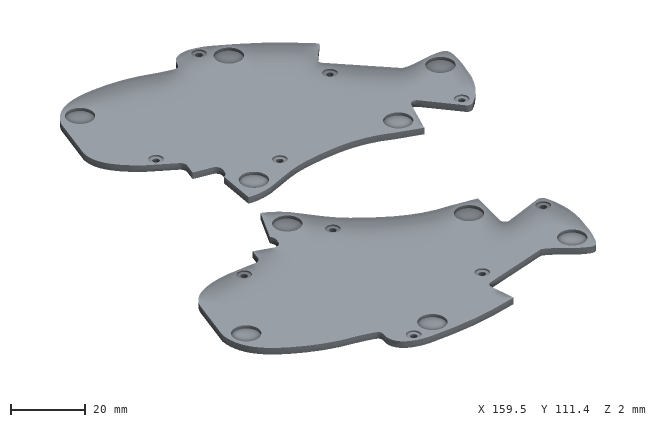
import cadquery as cq

THICKNESS = 2.0
HALF_LENGTH = 55.7
OUTER_REACH = 79.7

MAGNET_DIAMETER = 8.1
MAGNET_DEPTH = 1.0
MAGNET_CENTRES = [(47.2, 50.0), (25.4, 28.9), (72.9, -1.0), (12.0, -18.3), (59.5, -49.5)]

SCREW_DIAMETER = 2.0
SCREW_HEAD_DIAMETER = 4.1
SCREW_HEAD_DEPTH = 0.5
SCREW_CENTRES = [(29.2, 48.8), (54.5, 20.9), (76.9, -8.0), (19.0, -8.0), (31.5, -38.8)]

NECK_OUTER = (49.6, 39.9)
HEAD_NOSE = (24.9, 49.8)
NECK_INNER = (34.3, 35.4)
SHOULDER = (19.3, 34.0)
INNER_WAIST = (20.0, 25.5)
INNER_TOE = (4.3, -23.0)
NOTCH_LIP = (16.5, -25.2)
NOTCH_BEND = (17.0, -24.5)
NOTCH_INNER = (18.5, -24.1)
NOTCH_DEEP = (22.0, -24.1)
STEP = (21.5, -32.2)
STEP_ROOT = (27.0, -32.2)
TAIL_INNER = (42.0, -HALF_LENGTH)
TAIL_OUTER = (57.9, -HALF_LENGTH)
WING_TIP = (69.5, 24.0)
WING_ROOT = (60.8, 19.8)

HEAD_CURVE = [(51.5, 46.3), (53.3, 51.7), (53.3, 53.9), (49.8, 55.3), (43.9, HALF_LENGTH), (35.7, 55.0), (28.2, 52.2)]
INNER_CURVE = [(20.0, 12.8), (17.4, 3.2), (13.0, -6.5), (6.7, -15.8)]
TAIL_INNER_CURVE = [(28.9, -40.0), (32.2, -48.3), (36.7, -53.7)]
TAIL_OUTER_CURVE = [(65.9, -51.0), (70.7, -40.4), (72.2, -27.1), (72.0, -18.2)]
LOBE_CURVE = [(72.5, -15.8), (75.0, -15.3), (78.3, -13.2), (OUTER_REACH, -8.5)]
WING_CURVE = [(78.5, 0.0), (75.1, 11.2)]

CORNER_RADII = [
    (HEAD_NOSE, 1.6),
    (NECK_INNER, 1.6),
    (NOTCH_DEEP, 2.0),
    (STEP_ROOT, 2.0),
    (WING_ROOT, 1.6),
]


def sharp_plate():
    """The plate blank, before its corners are rounded."""
    return (
        cq.Workplane("XY")
        .moveTo(*NECK_OUTER)
        .spline([*HEAD_CURVE, HEAD_NOSE], includeCurrent=True)
        .lineTo(*NECK_INNER)
        .lineTo(*SHOULDER)
        .lineTo(*INNER_WAIST)
        .spline([*INNER_CURVE, INNER_TOE], includeCurrent=True)
        .lineTo(*NOTCH_LIP)
        .threePointArc(NOTCH_BEND, NOTCH_INNER)
        .lineTo(*NOTCH_DEEP)
        .lineTo(*STEP)
        .lineTo(*STEP_ROOT)
        .spline([*TAIL_INNER_CURVE, TAIL_INNER], includeCurrent=True)
        .lineTo(*TAIL_OUTER)
        .spline([*TAIL_OUTER_CURVE, *LOBE_CURVE, *WING_CURVE, WING_TIP], includeCurrent=True)
        .lineTo(*WING_ROOT)
        .close()
        .extrude(THICKNESS)
    )


def round_corners(plate):
    """Round the upright edges listed in CORNER_RADII."""
    for (x, y), radius in CORNER_RADII:
        corner = cq.selectors.NearestToPointSelector((x, y, THICKNESS / 2))
        plate = plate.edges("|Z").edges(corner).fillet(radius)
    return plate


def cut_magnet_pockets(plate):
    return (
        plate.faces(">Z")
        .workplane(origin=(0, 0, THICKNESS))
        .pushPoints(MAGNET_CENTRES)
        .hole(MAGNET_DIAMETER, MAGNET_DEPTH)
    )


def cut_screw_holes(plate):
    return (
        plate.faces(">Z")
        .workplane(origin=(0, 0, THICKNESS))
        .pushPoints(SCREW_CENTRES)
        .cboreHole(SCREW_DIAMETER, SCREW_HEAD_DIAMETER, SCREW_HEAD_DEPTH)
    )


def make_plate():
    plate = round_corners(sharp_plate())
    plate = cut_magnet_pockets(plate)
    return cut_screw_holes(plate)


right_plate = make_plate()
left_plate = right_plate.mirror("YZ")

result = cq.Compound.makeCompound([right_plate.val(), left_plate.val()])